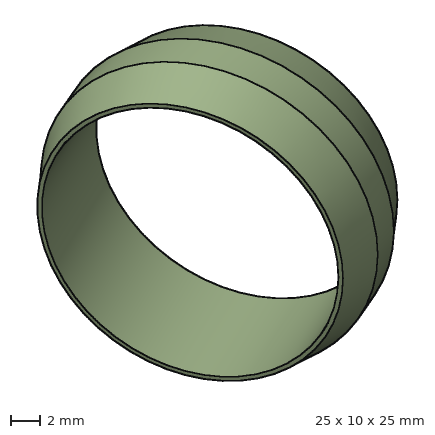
import cadquery as cq

outer_diameter = 25.0
end_diameter = 22.7
bore_diameter = 22.0
width = 10.0
band_width = 2.95

outer_radius = outer_diameter / 2
end_radius = end_diameter / 2
bore_radius = bore_diameter / 2
half_width = width / 2
half_band = band_width / 2

wall_section = (
    cq.Workplane("XY")
    .moveTo(bore_radius, -half_width)
    .lineTo(end_radius, -half_width)
    .lineTo(outer_radius, -half_band)
    .lineTo(outer_radius, half_band)
    .lineTo(end_radius, half_width)
    .lineTo(bore_radius, half_width)
    .close()
)

result = wall_section.revolve(360, (0, 0, 0), (0, 1, 0))